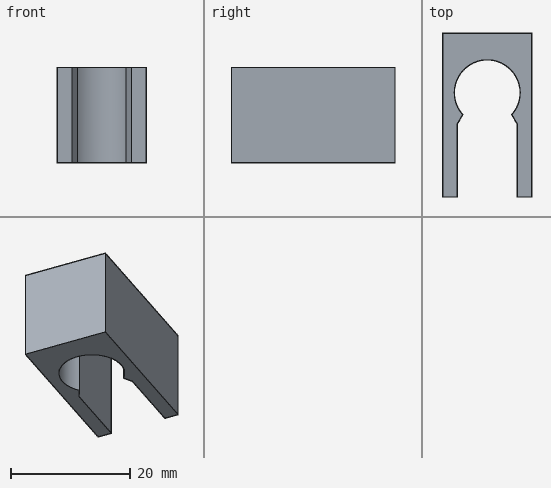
import cadquery as cq
import math

width = 15.0
length = 27.5
height = 16.0

bore_radius = 5.5
bore_to_back = 10.0
neck_width = 8.2

slot_width = 10.0
flare_angle = 30.0

back_y = bore_to_back
front_y = back_y - length
neck_x = neck_width / 2
slot_x = slot_width / 2
neck_y = -math.sqrt(bore_radius**2 - neck_x**2)
slot_y = neck_y - (slot_x - neck_x) / math.tan(math.radians(flare_angle))
side_x = width / 2

profile = (
    cq.Workplane("XY")
    .moveTo(-side_x, front_y)
    .lineTo(-side_x, back_y)
    .lineTo(side_x, back_y)
    .lineTo(side_x, front_y)
    .lineTo(slot_x, front_y)
    .lineTo(slot_x, slot_y)
    .lineTo(neck_x, neck_y)
    .threePointArc((0, bore_radius), (-neck_x, neck_y))
    .lineTo(-slot_x, slot_y)
    .lineTo(-slot_x, front_y)
    .close()
)

result = profile.extrude(height)